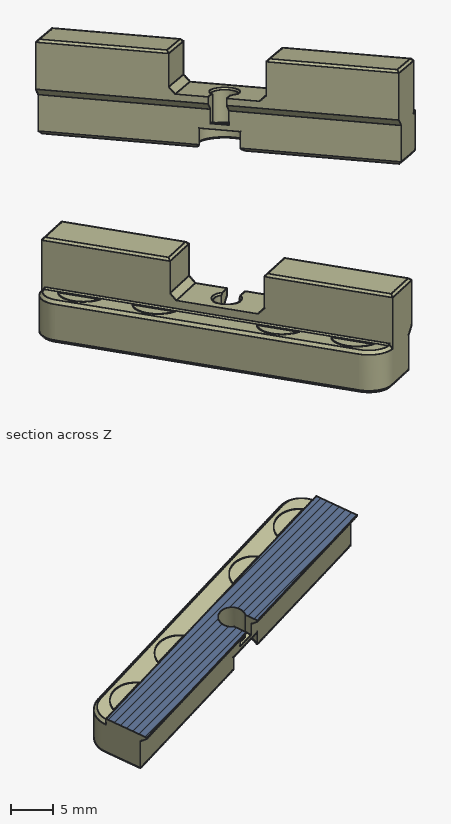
import cadquery as cq

LENGTH = 45.0
DEPTH = 8.9
HEIGHT = 11.85
EDGE_CHAMFER = 0.4
BAR_TOP_CHAMFER = 0.3

BAR_DEPTH = 5.8
STEP_DEPTH = 0.9
STEP_TOP = 5.75

FLANGE_HEIGHT = 5.4
FLANGE_CORNER_RADIUS = 3.0
RIDGE_DEPTH = 0.25
RIDGE_HEIGHT = 0.2

RECESS_DIAMETER = 6.0
RECESS_DEPTH = 0.1
RECESS_Y = DEPTH - 3.95
RECESS_END_Y = BAR_DEPTH + 0.35
RECESS_X = (7.95, 17.5)

NOTCH_WIDTH = 12.05
NOTCH_FLOOR = 6.6
NOTCH_CORNER = 0.8

HOLE_Y = BAR_DEPTH / 2 - 0.05
HOLE_DIAMETER = 3.2
HOLE_CHAMFER = 0.22
COUNTERBORE_DIAMETER = 6.4
COUNTERBORE_DEPTH = 2.45
COUNTERBORE_CHAMFER = 0.2
SLOT_WIDTH = 2.3
SLOT_FLOOR = 3.1
LIP_SEAT_DEPTH = 0.5
LIP_EDGE_Y = HOLE_Y - 1.12


def make_bar():
    """Bar with a stepped front, a chamfered notch and chamfered top and bottom edges."""
    profile = [
        (STEP_DEPTH, 0),
        (BAR_DEPTH, 0),
        (BAR_DEPTH, HEIGHT),
        (0, HEIGHT),
        (0, STEP_TOP),
        (STEP_DEPTH, STEP_TOP - STEP_DEPTH),
    ]
    bar = cq.Workplane("YZ").polyline(profile).close().extrude(LENGTH / 2, both=True)

    wall_x = NOTCH_WIDTH / 2
    floor_x = wall_x - NOTCH_CORNER
    notch_outline = [
        (-wall_x, HEIGHT),
        (-wall_x, NOTCH_FLOOR + NOTCH_CORNER),
        (-floor_x, NOTCH_FLOOR),
        (floor_x, NOTCH_FLOOR),
        (wall_x, NOTCH_FLOOR + NOTCH_CORNER),
        (wall_x, HEIGHT),
    ]
    notch = cq.Workplane("XZ").polyline(notch_outline).close().extrude(-BAR_DEPTH)
    bar = bar.cut(notch)

    bar = bar.faces(">Z").edges().chamfer(BAR_TOP_CHAMFER)
    return bar.faces("<Z").edges("not >Y").chamfer(EDGE_CHAMFER)


def make_flange():
    """Flange with rounded rear corners, chamfered around its top and bottom."""
    flange_depth = DEPTH - BAR_DEPTH
    flange = (
        cq.Workplane("XY")
        .box(LENGTH, flange_depth, FLANGE_HEIGHT, centered=(True, False, False))
        .translate((0, BAR_DEPTH, 0))
        .edges("|Z and >Y")
        .fillet(FLANGE_CORNER_RADIUS)
    )
    return flange.faces(">Z or <Z").edges("not <Y").chamfer(EDGE_CHAMFER)


def make_ridge():
    """Sloped ridge running along the joint between flange and bar."""
    profile = [
        (BAR_DEPTH, FLANGE_HEIGHT),
        (BAR_DEPTH + RIDGE_DEPTH, FLANGE_HEIGHT),
        (BAR_DEPTH, FLANGE_HEIGHT + RIDGE_HEIGHT),
    ]
    ridge_length = LENGTH - 2 * EDGE_CHAMFER
    return cq.Workplane("YZ").polyline(profile).close().extrude(ridge_length / 2, both=True)


def make_recesses():
    """Round recesses, cut off straight just behind the ridge."""
    centres = [(side * x, RECESS_Y) for x in RECESS_X for side in (-1, 1)]
    discs = (
        cq.Workplane("XY", origin=(0, 0, FLANGE_HEIGHT - RECESS_DEPTH))
        .pushPoints(centres)
        .circle(RECESS_DIAMETER / 2)
        .extrude(RECESS_DEPTH)
    )
    behind_ridge = (
        cq.Workplane("XY")
        .box(LENGTH, DEPTH, HEIGHT, centered=(True, False, False))
        .translate((0, RECESS_END_Y, 0))
    )
    return discs.intersect(behind_ridge)


def cone(bottom_radius, top_radius, bottom_z, height):
    """Truncated cone on the screw axis."""
    return (
        cq.Workplane("XY", origin=(0, HOLE_Y, bottom_z))
        .circle(bottom_radius)
        .workplane(offset=height)
        .circle(top_radius)
        .loft()
    )


def make_screw_cut():
    """Screw hole, counterbore and front slot, leaving a flat-edged lip between."""
    hole_radius = HOLE_DIAMETER / 2
    counterbore_radius = COUNTERBORE_DIAMETER / 2
    hole = cq.Workplane("XY", origin=(0, HOLE_Y, 0)).circle(hole_radius).extrude(NOTCH_FLOOR)
    lip = (
        cq.Workplane("XY")
        .box(HOLE_DIAMETER, LIP_EDGE_Y, SLOT_FLOOR - LIP_SEAT_DEPTH, centered=(True, False, False))
    )
    slot = (
        cq.Workplane("XY")
        .box(SLOT_WIDTH, HOLE_Y, NOTCH_FLOOR - SLOT_FLOOR, centered=(True, False, False))
        .translate((0, 0, SLOT_FLOOR))
    )
    counterbore = (
        cq.Workplane("XY", origin=(0, HOLE_Y, 0)).circle(counterbore_radius).extrude(COUNTERBORE_DEPTH)
    )
    top_chamfer = cone(hole_radius, hole_radius + HOLE_CHAMFER, NOTCH_FLOOR - HOLE_CHAMFER, HOLE_CHAMFER)
    bottom_chamfer = cone(
        counterbore_radius + COUNTERBORE_CHAMFER, counterbore_radius, 0, COUNTERBORE_CHAMFER
    )
    return hole.cut(lip).union(slot).union(counterbore).union(top_chamfer).union(bottom_chamfer)


body = make_bar().union(make_flange()).union(make_ridge())
result = body.cut(make_recesses()).cut(make_screw_cut())